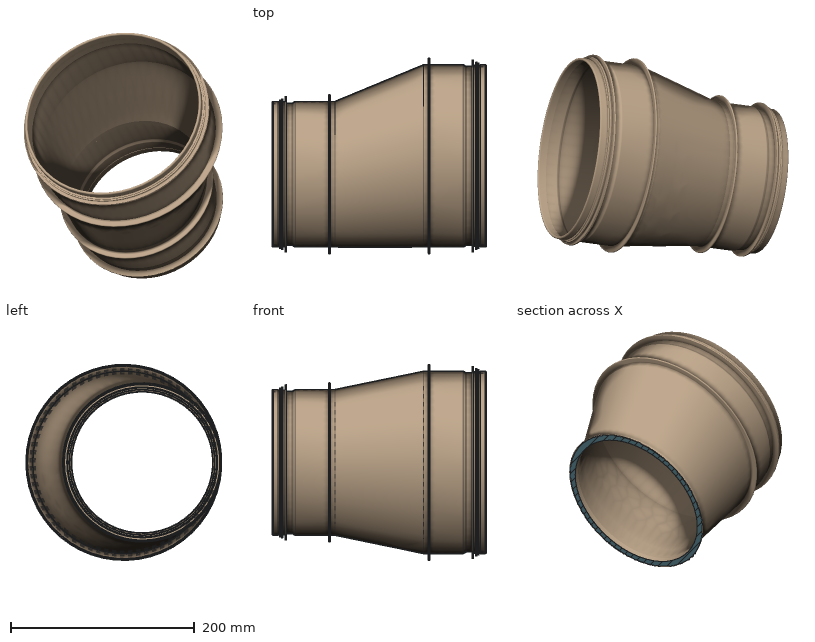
import cadquery as cq
import math


total_length = 233.2
sheet = 0.6
small_radius = 159.0 / 2
large_radius = 198.95 / 2

small_axis_y = small_radius - large_radius

hem_radius = 1.45
clamp_end = 6.6
jog_distance = 9.0
groove_depth = 1.8
ramp_start = 21.7
ramp_angle = math.radians(30)
bend_radius = 1.3

joint_distance = 62.1
seam_height = 7.25
seam_lap = 2.0
fold_radius = 1.5 * sheet
cone_flange_height = seam_height - fold_radius
cone_bend_radius = 0.8
collar_length = 6.2

seal_base_height = -0.5
low_lip_start = 8.3
low_lip_end = 9.2
low_lip_height = 1.5
high_lip_start = 10.0
high_lip_end = 11.7
high_lip_edge_height = 2.5
high_lip_crest_height = 2.7
tall_lip_start = 14.2
tall_lip_end = 15.8
tall_lip_front_height = 5.0
tall_lip_back_height = 5.2


def polar(center, radius, angle):
    """Point on a circle in the section plane, with the angle measured from the axis direction."""
    return (center[0] + radius * math.cos(angle), center[1] + radius * math.sin(angle))


def revolve_about_x(section):
    return section.close().revolve(360, (0, 0, 0), (1, 0, 0))


def spigot_at_origin(tube_radius):
    """Spigot with its open end at X = 0, its axis on X and its joint flange toward +X."""
    inner_radius = tube_radius - sheet
    floor_radius = tube_radius - groove_depth
    hem_center_radius = tube_radius - hem_radius
    hem_bore_radius = tube_radius - 2 * hem_radius
    hem_outside_radius = hem_bore_radius + sheet
    outer_jog = jog_distance - sheet
    fold_center = joint_distance + sheet / 2
    fold_base_radius = tube_radius + seam_height - fold_radius
    fold_inner_radius = fold_radius - sheet
    lap_radius = tube_radius + seam_height - seam_lap
    lap_start = joint_distance + sheet

    outer_bend = bend_radius + sheet
    bend_sum = bend_radius + outer_bend
    ramp_rise = groove_depth - bend_sum * (1 - math.cos(ramp_angle))
    ramp_run = bend_sum * math.sin(ramp_angle) + ramp_rise / math.tan(ramp_angle)
    foot_center = (ramp_start, floor_radius + bend_radius)
    crest_center = (ramp_start + ramp_run, inner_radius - bend_radius)
    foot_angle = -math.pi / 2
    crest_angle = math.pi / 2

    section = (
        cq.Workplane("XY")
        .moveTo(hem_radius, tube_radius)
        .threePointArc((0, hem_center_radius), (hem_radius, hem_bore_radius))
        .lineTo(jog_distance, hem_bore_radius)
        .lineTo(jog_distance, floor_radius - sheet)
        .lineTo(ramp_start, floor_radius - sheet)
        .threePointArc(
            polar(foot_center, outer_bend, foot_angle + ramp_angle / 2),
            polar(foot_center, outer_bend, foot_angle + ramp_angle),
        )
        .lineTo(*polar(crest_center, bend_radius, crest_angle + ramp_angle))
        .threePointArc(
            polar(crest_center, bend_radius, crest_angle + ramp_angle / 2),
            polar(crest_center, bend_radius, crest_angle),
        )
        .lineTo(joint_distance, inner_radius)
        .lineTo(joint_distance, fold_base_radius)
        .threePointArc(
            (fold_center, fold_base_radius + fold_inner_radius),
            (lap_start, fold_base_radius),
        )
        .lineTo(lap_start, lap_radius)
        .lineTo(lap_start + sheet, lap_radius)
        .lineTo(lap_start + sheet, fold_base_radius)
        .threePointArc(
            (fold_center, fold_base_radius + fold_radius),
            (joint_distance - sheet, fold_base_radius),
        )
        .lineTo(joint_distance - sheet, tube_radius)
        .lineTo(crest_center[0], tube_radius)
        .threePointArc(
            polar(crest_center, outer_bend, crest_angle + ramp_angle / 2),
            polar(crest_center, outer_bend, crest_angle + ramp_angle),
        )
        .lineTo(*polar(foot_center, bend_radius, foot_angle + ramp_angle))
        .threePointArc(
            polar(foot_center, bend_radius, foot_angle + ramp_angle / 2),
            polar(foot_center, bend_radius, foot_angle),
        )
        .lineTo(outer_jog, floor_radius)
        .lineTo(outer_jog, hem_outside_radius)
        .lineTo(hem_radius, hem_outside_radius)
        .threePointArc((sheet, hem_center_radius), (hem_radius, inner_radius))
        .lineTo(clamp_end, inner_radius)
        .lineTo(clamp_end, tube_radius)
    )
    return revolve_about_x(section)


def seal_at_origin(tube_radius):
    """Rubber seal clamped in the hem and lying on the groove floor, with three lips of rising height."""
    floor_radius = tube_radius - groove_depth
    base_radius = tube_radius + seal_base_height
    low_lip_radius = tube_radius + low_lip_height
    high_lip_edge_radius = tube_radius + high_lip_edge_height
    high_lip_crest_radius = tube_radius + high_lip_crest_height
    high_lip_middle = (high_lip_start + high_lip_end) / 2
    hem_outside_radius = tube_radius - 2 * hem_radius + sheet
    outer_jog = jog_distance - sheet
    section = (
        cq.Workplane("XY")
        .moveTo(hem_radius, hem_outside_radius)
        .lineTo(hem_radius, tube_radius - sheet)
        .lineTo(clamp_end, tube_radius - sheet)
        .lineTo(clamp_end, base_radius)
        .lineTo(low_lip_start, base_radius)
        .lineTo(low_lip_start, low_lip_radius)
        .lineTo(low_lip_end, low_lip_radius)
        .lineTo(low_lip_end, base_radius)
        .lineTo(high_lip_start, base_radius)
        .lineTo(high_lip_start, high_lip_edge_radius)
        .lineTo(high_lip_middle, high_lip_crest_radius)
        .lineTo(high_lip_end, high_lip_edge_radius)
        .lineTo(high_lip_end, base_radius)
        .lineTo(tall_lip_start, base_radius)
        .lineTo(tall_lip_start, tube_radius + tall_lip_front_height)
        .lineTo(tall_lip_end, tube_radius + tall_lip_back_height)
        .lineTo(tall_lip_end, floor_radius)
        .lineTo(outer_jog, floor_radius)
        .lineTo(outer_jog, hem_outside_radius)
    )
    return revolve_about_x(section)


def place_small(body):
    return body.translate((0, small_axis_y, 0))


def place_large(body):
    return body.mirror("YZ").translate((total_length, 0, 0))


def disc(tube_radius, axis_y, start_x, length):
    return cq.Workplane("YZ", origin=(start_x, axis_y, 0)).circle(tube_radius).extrude(length)


def cone_fill(wall_offset):
    """Solid filling the cone and its two straight collars, set in from the outer surface."""
    small = small_radius - wall_offset
    large = large_radius - wall_offset
    small_joint = joint_distance
    large_joint = total_length - joint_distance
    cone_start = small_joint + collar_length
    cone_end = large_joint - collar_length
    taper = (
        cq.Workplane("YZ", origin=(cone_start, small_axis_y, 0))
        .circle(small)
        .workplane(offset=cone_end - cone_start)
        .center(-small_axis_y, 0)
        .circle(large)
        .loft(ruled=True)
    )
    small_collar = disc(small, small_axis_y, small_joint, collar_length)
    large_collar = disc(large, 0, cone_end, collar_length)
    return taper.union(small_collar).union(large_collar)


def flange_at_origin(tube_radius):
    """Cone flange rising from the collar through a bend, in the same position as the spigot."""
    face = joint_distance + sheet
    rim_radius = tube_radius + cone_flange_height
    bend_center = (face + cone_bend_radius, tube_radius + cone_bend_radius)
    section = (
        cq.Workplane("XY")
        .moveTo(joint_distance, tube_radius - sheet)
        .lineTo(joint_distance, rim_radius)
        .lineTo(face, rim_radius)
        .lineTo(face, bend_center[1])
        .threePointArc(
            polar(bend_center, cone_bend_radius, math.radians(225)),
            (bend_center[0], tube_radius),
        )
        .lineTo(bend_center[0], tube_radius - sheet)
    )
    return revolve_about_x(section)


def build_cone():
    """Oblique sheet-metal cone with a flange at each joint."""
    small_flange = place_small(flange_at_origin(small_radius))
    large_flange = place_large(flange_at_origin(large_radius))
    shell = cone_fill(0).cut(cone_fill(sheet))
    return shell.union(small_flange).union(large_flange)


small_spigot = place_small(spigot_at_origin(small_radius))
small_seal = place_small(seal_at_origin(small_radius))
large_spigot = place_large(spigot_at_origin(large_radius))
large_seal = place_large(seal_at_origin(large_radius))
cone = build_cone()

result = cq.Compound.makeCompound(
    [small_spigot.val(), small_seal.val(), cone.val(), large_seal.val(), large_spigot.val()]
)